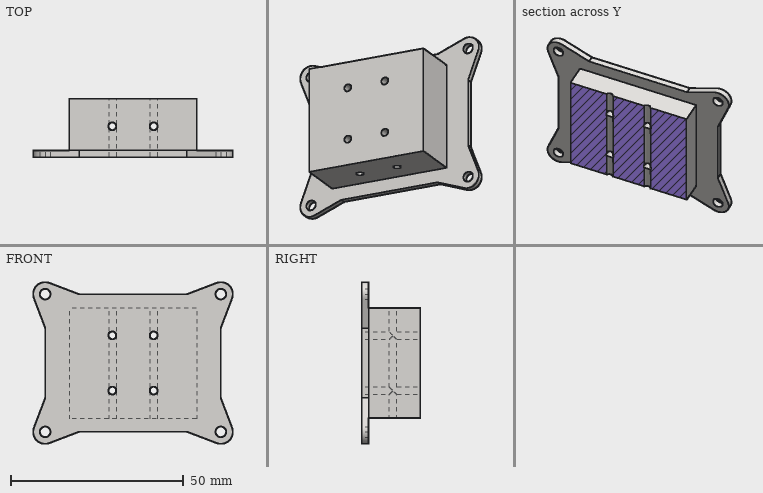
import cadquery as cq
import math

LENGTH = 58.0
DEPTH = 17.0

PLATE_THICKNESS = 2.0
MOUNT_PITCH_X = 51.0
MOUNT_PITCH_Z = 39.95
MOUNT_HOLE_DIAMETER = 3.0
LUG_RADIUS = (LENGTH - MOUNT_PITCH_X) / 2
LUG_REACH = 9.85

BLOCK_LENGTH = 37.1
BLOCK_HEIGHT = 32.0
BLOCK_DEPTH = DEPTH - PLATE_THICKNESS

SMALL_HOLE_DIAMETER = 2.2
SMALL_PITCH_X = 12.0
SMALL_PITCH_Z = 16.0
VERTICAL_HOLE_Y = 9.0


def make_lug(side_x, side_z):
    """Round corner lug with two flanks tangent to its end."""
    x = side_x * MOUNT_PITCH_X / 2
    z = side_z * MOUNT_PITCH_Z / 2
    flank_angle = math.asin(LUG_RADIUS / LUG_REACH)
    along = LUG_RADIUS * math.sin(flank_angle)
    across = LUG_RADIUS * math.cos(flank_angle)
    diagonal = LUG_RADIUS / math.sqrt(2)
    return (
        cq.Workplane("XZ")
        .moveTo(x, z)
        .lineTo(x - side_x * LUG_REACH, z)
        .lineTo(x - side_x * along, z + side_z * across)
        .threePointArc(
            (x + side_x * diagonal, z + side_z * diagonal),
            (x + side_x * across, z - side_z * along),
        )
        .lineTo(x, z - side_z * LUG_REACH)
        .close()
        .extrude(-PLATE_THICKNESS)
    )


def make_plate():
    """Rectangular plate with a lug at each corner."""
    plate = cq.Workplane("XZ").rect(MOUNT_PITCH_X, MOUNT_PITCH_Z).extrude(-PLATE_THICKNESS)
    for side_x in (-1, 1):
        for side_z in (-1, 1):
            plate = plate.union(make_lug(side_x, side_z))
    return plate


def make_block():
    """Plain block standing on the back of the plate."""
    return (
        cq.Workplane("XZ", origin=(0, PLATE_THICKNESS, 0))
        .rect(BLOCK_LENGTH, BLOCK_HEIGHT)
        .extrude(-BLOCK_DEPTH)
    )


def front_holes(pitch_x, pitch_z, diameter):
    """Four cylinders along Y, as long as the part is deep."""
    return (
        cq.Workplane("XZ")
        .rarray(pitch_x, pitch_z, 2, 2)
        .circle(diameter / 2)
        .extrude(-DEPTH)
    )


def vertical_holes():
    """Two cylinders along Z through the full block height."""
    return (
        cq.Workplane("XY", origin=(0, VERTICAL_HOLE_Y, 0))
        .rarray(SMALL_PITCH_X, 0.6, 2, 1)
        .circle(SMALL_HOLE_DIAMETER / 2)
        .extrude(BLOCK_HEIGHT / 2, both=True)
    )


result = (
    make_plate()
    .union(make_block())
    .cut(front_holes(MOUNT_PITCH_X, MOUNT_PITCH_Z, MOUNT_HOLE_DIAMETER))
    .cut(front_holes(SMALL_PITCH_X, SMALL_PITCH_Z, SMALL_HOLE_DIAMETER))
    .cut(vertical_holes())
)